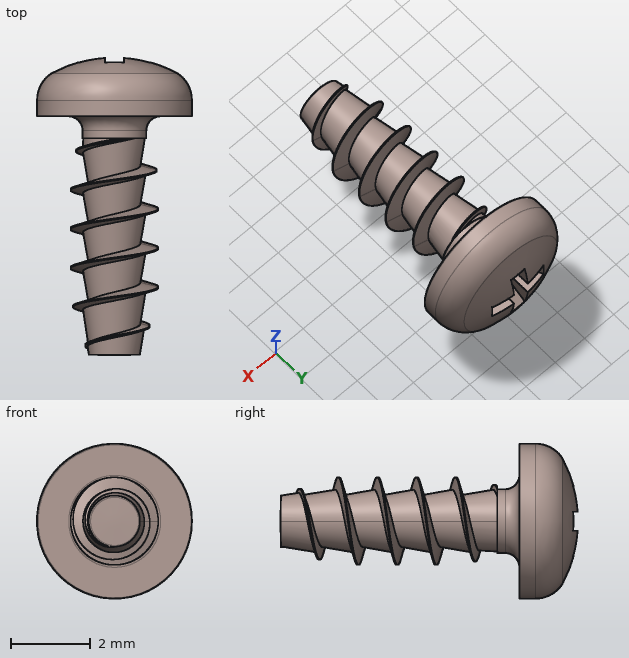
import cadquery as cq
import math


head_radius = 1.95
head_height = 1.487
rim_height = 0.405
rim_edge_radius = 0.03
shoulder_radius = 0.815
dome_edge_radius = 1.59
dome_edge_height = 1.08

recess_width = 0.47
recess_top_radius = 0.95
recess_floor_radius = 0.45
recess_depth = 0.95

neck_radius = 0.805
neck_fillet = 0.35
neck_length = 0.55
core_radius = 0.79
shank_length = 5.985
tip_radius = 0.643
tip_face_radius = 0.605
tip_point_length = 0.015
tip_taper_length = 0.98

pitch = 0.98
thread_radius = 1.1
thread_start_y = -0.37
thread_turns = 5.75
least_thread_depth = 0.01
crest_half_width = 0.015
flank_slope = 0.25
lead_in_radius = 0.87
lead_in_turns = 1.2
run_out_radius = 0.66
run_out_turns = 1.45
points_per_turn = 24

relief_depth = 0.135
relief_start = -0.35
relief_end = 4.75
relief_blend_turns = 0.25

first_turn = -1
end_turn = 6


def ramp(value, low, high):
    """Rise linearly from 0 at low to 1 at high, held constant outside."""
    return min(max((value - low) / (high - low), 0), 1)


def crest_y(turn):
    return thread_start_y - pitch * turn


def crest_radius(turn):
    lead_in = (thread_radius - lead_in_radius) * (1 - ramp(turn, 0, lead_in_turns))
    run_out_start = thread_turns - run_out_turns
    run_out = (thread_radius - run_out_radius) * ramp(turn, run_out_start, thread_turns)
    return max(thread_radius - lead_in - run_out, root_radius(crest_y(turn)) + least_thread_depth)


def root_radius(y):
    """Unrelieved core radius: straight, then tapered towards the tip."""
    tip_taper = (core_radius - tip_radius) / tip_taper_length
    return min(core_radius, tip_radius + tip_taper * (y + shank_length))


def flank_run(turn, radius):
    """Axial distance from the crest line to the flank at the given radius."""
    return crest_half_width + flank_slope * (crest_radius(turn) - radius)


def crest_upper(turn):
    return (crest_radius(turn), crest_y(turn) + crest_half_width)


def crest_lower(turn):
    return (crest_radius(turn), crest_y(turn) - crest_half_width)


def root_wide(turn):
    """Root corner on the tip side of the thread."""
    radius = root_radius(crest_y(turn))
    return (radius, crest_y(turn) - flank_run(turn, radius))


def root_narrow(turn):
    """Relieved root corner on the head side of the following thread."""
    blend_in = ramp(turn, relief_start, relief_start + relief_blend_turns)
    blend_out = ramp(turn, relief_end - relief_blend_turns, relief_end)
    unrelieved = root_radius(crest_y(turn + 1))
    relieved = core_radius - relief_depth * (blend_in - blend_out)
    radius = min(unrelieved, relieved)
    return (radius, crest_y(turn + 1) + flank_run(turn + 1, radius))


def next_crest(turn):
    return crest_upper(turn + 1)


section_corners = [crest_upper, crest_lower, root_wide, root_narrow, next_crest]


def axis_corner(turn):
    return (0, crest_y(turn) + crest_half_width)


def helical_point(corner, turn):
    radius, y = corner(turn)
    angle = 2 * math.pi * turn
    return cq.Vector(radius * math.cos(angle), y, radius * math.sin(angle))


def helical_edge(corner, turn):
    """One turn of the curve that a section corner follows about the Y axis."""
    steps = range(points_per_turn + 1)
    return cq.Edge.makeSpline([helical_point(corner, turn + step / points_per_turn) for step in steps])


def helical_end(turn):
    """Helicoid from the axis to the crest that closes the body, and the radial step it leaves."""
    axis_edge = cq.Edge.makeLine(helical_point(axis_corner, turn), helical_point(axis_corner, turn + 1))
    helicoid = cq.Face.makeRuledSurface(axis_edge, helical_edge(crest_upper, turn))
    corners = [helical_point(corner, turn) for corner in section_corners]
    corners.append(helical_point(axis_corner, turn + 1))
    corners.append(helical_point(axis_corner, turn))
    step = cq.Face.makeFromWires(cq.Wire.makePolygon(corners, close=True))
    return [helicoid, step]


def threaded_shank():
    """Relieved core and thread as one body, trimmed flat at the neck and at the tip."""
    faces = helical_end(first_turn) + helical_end(end_turn)
    for turn in range(first_turn, end_turn):
        edges = [helical_edge(corner, turn) for corner in section_corners]
        for upper, lower in zip(edges, edges[1:]):
            faces.append(cq.Face.makeRuledSurface(upper, lower))
    body = cq.Solid.makeSolid(cq.Shell.makeShell(faces)).fix()
    limits = (
        cq.Workplane("XZ", origin=(0, -neck_length, 0))
        .circle(2 * thread_radius)
        .extrude(shank_length - neck_length)
    )
    return limits.intersect(cq.Workplane(obj=body))


def arc_middle(start, end, radius):
    """Middle of the minor arc from start to end that bulges to the left of the chord."""
    dx = end[0] - start[0]
    dy = end[1] - start[1]
    chord = math.hypot(dx, dy)
    bulge = radius - math.sqrt(radius**2 - chord**2 / 4)
    return ((start[0] + end[0]) / 2 - dy / chord * bulge, (start[1] + end[1]) / 2 + dx / chord * bulge)


def head_and_neck():
    apex = (0, head_height)
    dome_edge = (dome_edge_radius, dome_edge_height)
    rim_top = (head_radius, rim_height)
    dome_drop = head_height - dome_edge_height
    dome_radius = (dome_edge_radius**2 + dome_drop**2) / (2 * dome_drop)
    corner = 1 - math.sqrt(0.5)
    profile = (
        cq.Workplane("XY")
        .moveTo(*apex)
        .threePointArc(arc_middle(apex, dome_edge, dome_radius), dome_edge)
        .threePointArc(arc_middle(dome_edge, rim_top, shoulder_radius), rim_top)
        .lineTo(head_radius, rim_edge_radius)
        .threePointArc(
            (head_radius - rim_edge_radius * corner, rim_edge_radius * corner),
            (head_radius - rim_edge_radius, 0),
        )
        .lineTo(neck_radius + neck_fillet, 0)
        .threePointArc(
            (neck_radius + neck_fillet * corner, -neck_fillet * corner),
            (neck_radius, -neck_fillet),
        )
        .lineTo(neck_radius, -neck_length)
        .lineTo(0, -neck_length)
        .close()
    )
    return profile.revolve(360, (0, 0), (0, 1))


def cross_recess():
    """Two crossing slots whose ends taper inwards to the recess floor."""
    floor_y = head_height - recess_depth
    slot = (
        cq.Workplane("XY")
        .polyline([
            (-recess_floor_radius, floor_y),
            (recess_floor_radius, floor_y),
            (recess_top_radius, head_height),
            (-recess_top_radius, head_height),
        ])
        .close()
        .extrude(recess_width / 2, both=True)
    )
    return slot.union(slot.rotate((0, 0, 0), (0, 1, 0), 90))


def tip_point():
    """Very shallow cone on the tip face."""
    profile = (
        cq.Workplane("XY")
        .moveTo(0, -shank_length)
        .lineTo(tip_face_radius, -shank_length)
        .lineTo(0, -shank_length - tip_point_length)
        .close()
    )
    return profile.revolve(360, (0, 0), (0, 1))


head = head_and_neck().cut(cross_recess())
result = head.union(threaded_shank()).union(tip_point())